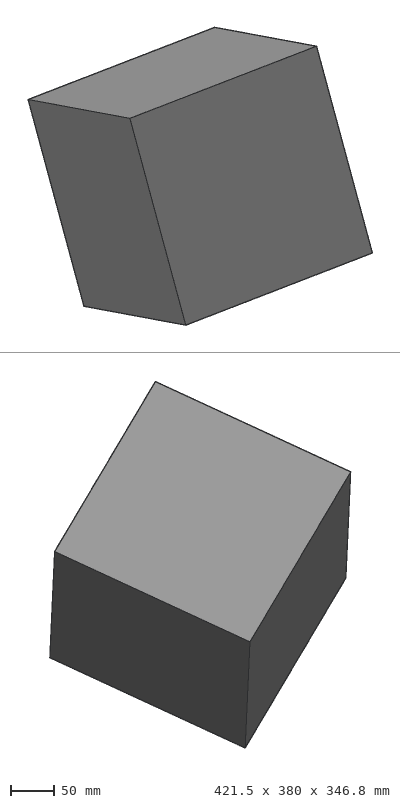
import cadquery as cq

edge_length = 254.5
roll_angle = 1.0
pitch_angle = -27.3
heading_angle = -27.2

origin = (0, 0, 0)
result = (
    cq.Workplane("XY")
    .box(edge_length, edge_length, edge_length)
    .rotate(origin, (1, 0, 0), roll_angle)
    .rotate(origin, (0, 1, 0), pitch_angle)
    .rotate(origin, (0, 0, 1), heading_angle)
)